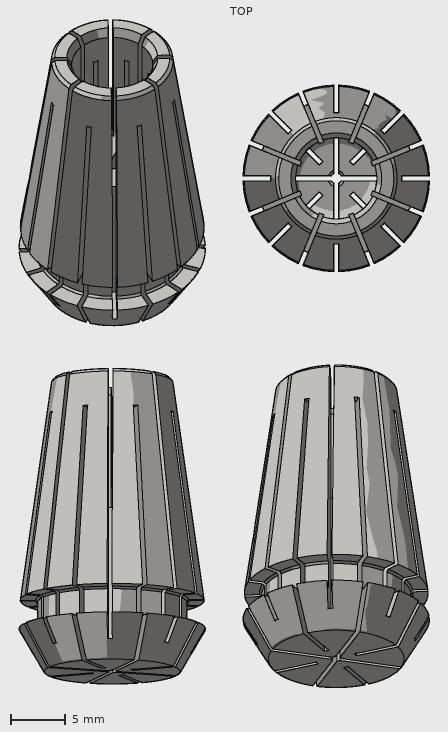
import cadquery as cq
import math

total_length = 27.5
flange_radius = 8.625

nose_half_angle = 30.0
nose_height = 4.0
nose_edge_chamfer = 0.1

groove_top = 6.7
groove_radius = 6.9
groove_corner_chamfer = 0.2

body_half_angle = 8.0
body_large_radius = 8.5
rim_chamfer_height = 0.3
rim_chamfer_width = 0.3

bore_radius = 3.75
bore_floor = 14.5
bore_floor_fillet = 0.8
bore_mouth_chamfer_width = 0.45
bore_mouth_chamfer_height = 0.8

clamp_hole_radius = 0.5
clamp_hole_chamfer = 0.25

slit_width = 0.45
slit_count = 8
slit_pitch = 360.0 / slit_count
lower_slit_top = 24.0
upper_slit_bottom = 1.75
short_lower_slit_start = 2.0
upper_slit_start = 3.55
slit_overrun = 1.0


def make_outer_body():
    """Revolve the outside profile about Z."""
    nose_slope = math.tan(math.radians(nose_half_angle))
    nose_bottom_radius = flange_radius - nose_height * nose_slope
    nose_edge_radius = nose_bottom_radius + nose_edge_chamfer * nose_slope
    rim_bottom = total_length - rim_chamfer_height
    rim_radius = body_large_radius - (rim_bottom - groove_top) * math.tan(math.radians(body_half_angle))
    profile = (
        cq.Workplane("XZ")
        .moveTo(0, 0)
        .lineTo(nose_edge_radius - nose_edge_chamfer, 0)
        .lineTo(nose_edge_radius, nose_edge_chamfer)
        .lineTo(flange_radius, nose_height)
        .lineTo(groove_radius + groove_corner_chamfer, nose_height)
        .lineTo(groove_radius, nose_height + groove_corner_chamfer)
        .lineTo(groove_radius, groove_top - groove_corner_chamfer)
        .lineTo(groove_radius + groove_corner_chamfer, groove_top)
        .lineTo(body_large_radius, groove_top)
        .lineTo(rim_radius, rim_bottom)
        .lineTo(rim_radius - rim_chamfer_width, total_length)
        .lineTo(0, total_length)
        .close()
    )
    return profile.revolve(360, (0, 0, 0), (0, 1, 0))


def make_bore():
    """Revolve the stepped hole: clamping hole, rounded floor, wide bore and flared mouth."""
    fillet_centre_radius = bore_radius - bore_floor_fillet
    fillet_mid = bore_floor_fillet * math.sqrt(0.5)
    fillet_end = bore_floor + bore_floor_fillet
    profile = (
        cq.Workplane("XZ")
        .moveTo(0, 0)
        .lineTo(clamp_hole_radius, 0)
        .lineTo(clamp_hole_radius, bore_floor - clamp_hole_chamfer)
        .lineTo(clamp_hole_radius + clamp_hole_chamfer, bore_floor)
        .lineTo(fillet_centre_radius, bore_floor)
        .threePointArc(
            (fillet_centre_radius + fillet_mid, fillet_end - fillet_mid),
            (bore_radius, fillet_end),
        )
        .lineTo(bore_radius, total_length - bore_mouth_chamfer_height)
        .lineTo(bore_radius + bore_mouth_chamfer_width, total_length)
        .lineTo(0, total_length)
        .close()
    )
    return profile.revolve(360, (0, 0, 0), (0, 1, 0))


def make_slit(angle, start_radius, bottom, top):
    """Radial slot cutter running outward from start_radius at the given angle."""
    length = flange_radius + slit_overrun - start_radius
    slit = cq.Workplane("XY").box(length, slit_width, top - bottom, centered=(False, True, False))
    return slit.translate((start_radius, 0, bottom)).rotate((0, 0, 0), (0, 0, 1), angle)


result = make_outer_body().cut(make_bore())

for index in range(slit_count):
    lower_angle = index * slit_pitch
    upper_angle = lower_angle + slit_pitch / 2
    lower_start = 0 if index % 2 == 0 else short_lower_slit_start
    result = result.cut(make_slit(lower_angle, lower_start, -slit_overrun, lower_slit_top))
    result = result.cut(make_slit(upper_angle, upper_slit_start, upper_slit_bottom, total_length + slit_overrun))